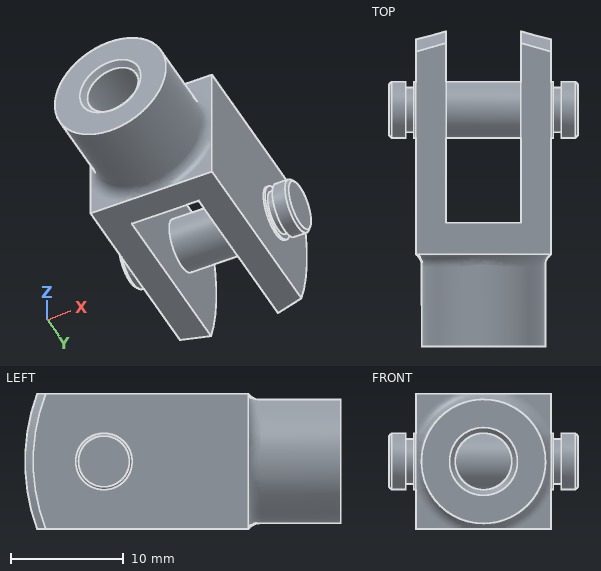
import cadquery as cq
import math

total_length = 28.0
fork_side = 12.0
neck_diameter = 11.0
neck_length = 8.2
neck_fillet = 1.1
bore_diameter = 5.0
bore_chamfer = 0.5
slot_width = 6.6
slot_floor = 11.0
tip_radius = 17.35
tip_angle = 15.0

pin_length = 16.8
pin_diameter = 5.0
pin_position = 21.0
pin_chamfer = 0.25
head_length = 1.5
groove_width = 0.7
groove_diameter = 4.0


def make_blank():
    """Square fork block with the round neck, filleted where they meet."""
    fork_length = total_length - neck_length
    block = cq.Workplane("XY").box(fork_side, fork_length, fork_side).translate(
        (0, neck_length + fork_length / 2, 0)
    )
    neck = cq.Workplane("XZ").circle(neck_diameter / 2).extrude(-neck_length)
    blank = block.union(neck)
    junction = cq.selectors.BoxSelector(
        (-fork_side, neck_length - 0.03, -fork_side),
        (fork_side, neck_length + 0.03, fork_side),
    )
    return blank.edges(junction).edges("%CIRCLE").fillet(neck_fillet)


def make_tip_envelope():
    """Two cones about a cross axis, widest at the slot walls, that round and bevel the fork tips."""
    half_side = fork_side / 2
    half_slot = slot_width / 2
    outer_radius = tip_radius - (half_side - half_slot) * math.tan(math.radians(tip_angle))
    profile = [
        (-half_side, 0),
        (-half_side, outer_radius),
        (-half_slot, tip_radius),
        (half_slot, tip_radius),
        (half_side, outer_radius),
        (half_side, 0),
    ]
    envelope = cq.Workplane("XY").polyline(profile).close().revolve(360, (0, 0, 0), (1, 0, 0))
    return envelope.translate((0, total_length - tip_radius, 0))


def make_clevis():
    blank = make_blank()

    tip_axis = total_length - tip_radius
    tip_block = cq.Workplane("XY").box(fork_side, tip_radius, fork_side).translate(
        (0, tip_axis + tip_radius / 2, 0)
    )
    clevis = blank.cut(tip_block.cut(make_tip_envelope()))

    slot_length = total_length - slot_floor
    slot = cq.Workplane("XY").box(slot_width, slot_length, fork_side).translate(
        (0, slot_floor + slot_length / 2, 0)
    )
    bore = cq.Workplane("XZ").circle(bore_diameter / 2).extrude(-slot_floor)
    countersink = cq.Solid.makeCone(
        bore_diameter / 2 + bore_chamfer,
        bore_diameter / 2,
        bore_chamfer,
        pnt=cq.Vector(0, 0, 0),
        dir=cq.Vector(0, 1, 0),
    )
    pin_hole = (
        cq.Workplane("YZ").center(pin_position, 0).circle(pin_diameter / 2).extrude(fork_side / 2, both=True)
    )
    return clevis.cut(slot).cut(bore).cut(countersink).cut(pin_hole)


def make_pin():
    pin = (
        cq.Workplane("YZ")
        .center(pin_position, 0)
        .circle(pin_diameter / 2)
        .extrude(pin_length / 2, both=True)
        .faces("<X or >X")
        .chamfer(pin_chamfer)
    )
    groove_center = pin_length / 2 - head_length - groove_width / 2
    for side in (-1, 1):
        groove = (
            cq.Workplane("YZ", origin=(side * groove_center - groove_width / 2, pin_position, 0))
            .circle(pin_diameter / 2)
            .circle(groove_diameter / 2)
            .extrude(groove_width)
        )
        pin = pin.cut(groove)
    return pin


clevis = make_clevis()
pin = make_pin()
result = cq.Compound.makeCompound([clevis.val(), pin.val()])